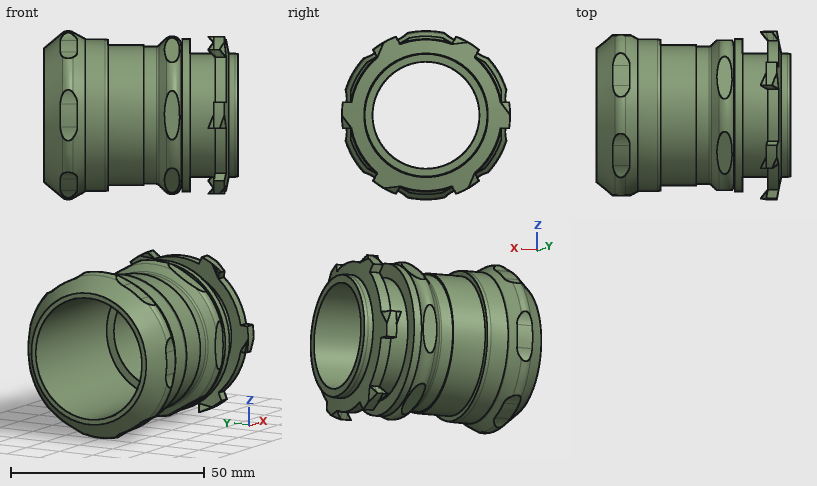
import cadquery as cq
import math

length = 50.3
sides = 6
sector = 360 / sides

bore_radius = 27.6 / 2
socket_radius = 32.0 / 2
socket_depth = 35.75

nut_face_radius = 17.3
nut_crown_start = 4.8
nut_crown_start_radius = 21.3
nut_crown_peak = 6.3
nut_crown_peak_radius = 43.7 / 2
nut_crown_end = 7.5
nut_crown_end_radius = 21.55
nut_cone_end = 10.6
nut_cone_end_radius = 19.8
nut_body_start = 10.75
nut_body_radius = 39.4 / 2
nut_end = 16.65
nut_rim_chamfer_length = 0.9
nut_rim_chamfer_depth = 0.15
scallop_radius = 20.85
scallop_half_width = 3.0
scallop_blend_radius = 9.05
scallop_blend_sweep = 30.0

barrel_radius = 36.4 / 2
barrel_end = 25.8
neck_radius = 35.6 / 2
neck_end = 29.05
ring_start = 29.8
ring_start_radius = 18.1
ring_crown_start = 31.65
ring_peak = 33.2
ring_peak_radius = 20.45
ring_crown_radius = 2.35
ring_flat_distance = 19.45
flange_start = socket_depth
flange_end = 37.9
flange_radius = 39.6 / 2
thread_radius = 32.1 / 2
thread_chamfer_start = 49.4
thread_chamfer_depth = 0.2

locknut_front = 44.35
locknut_back = 47.2
locknut_middle = (locknut_front + locknut_back) / 2
locknut_rim_radius = 19.55
locknut_dish_slope = 0.2
tooth_radius = 43.6 / 2
tooth_half_width = 3.4
tooth_bend = 1.4
tooth_lean = locknut_dish_slope * (tooth_radius - locknut_rim_radius)
locknut_dish = locknut_dish_slope * (locknut_rim_radius - thread_radius)

tooth_root = (math.sqrt(locknut_rim_radius**2 - tooth_half_width**2), tooth_half_width)
tooth_fold = (tooth_radius, 0)
tooth_corner = (math.sqrt(tooth_radius**2 - tooth_half_width**2), tooth_half_width)
relief_corner = (tooth_radius, tooth_half_width)

clearance = 2.5


def copies_around_axis(shape):
    """Yield the shape at every sector angle about the X axis."""
    for i in range(sides):
        yield shape.rotate((0, 0, 0), (1, 0, 0), i * sector)


def make_body():
    """Outer profile, radius drawn along Z, revolved about X; the locknut is still a full disc."""
    crown_center_radius = ring_peak_radius - ring_crown_radius
    crown_reach = ring_peak - ring_crown_start
    crown_start_radius = crown_center_radius + math.sqrt(ring_crown_radius**2 - crown_reach**2)
    return (
        cq.Workplane("XZ")
        .moveTo(0, 0)
        .lineTo(0, nut_face_radius)
        .lineTo(nut_crown_start, nut_crown_start_radius)
        .threePointArc(
            (nut_crown_peak, nut_crown_peak_radius),
            (nut_crown_end, nut_crown_end_radius),
        )
        .lineTo(nut_cone_end, nut_cone_end_radius)
        .lineTo(nut_body_start, nut_body_radius)
        .lineTo(nut_end - nut_rim_chamfer_length, nut_body_radius)
        .lineTo(nut_end, nut_body_radius - nut_rim_chamfer_depth)
        .lineTo(nut_end, barrel_radius)
        .lineTo(barrel_end, barrel_radius)
        .lineTo(barrel_end, neck_radius)
        .lineTo(neck_end, neck_radius)
        .tangentArcPoint((ring_start, ring_start_radius), relative=False)
        .lineTo(ring_crown_start, crown_start_radius)
        .threePointArc(
            (ring_peak, ring_peak_radius),
            (ring_peak + ring_crown_radius, crown_center_radius),
        )
        .lineTo(flange_start, crown_center_radius)
        .lineTo(flange_start, flange_radius)
        .lineTo(flange_end, flange_radius)
        .lineTo(flange_end, thread_radius)
        .lineTo(locknut_front + locknut_dish, thread_radius)
        .lineTo(locknut_front - tooth_lean, tooth_radius)
        .lineTo(locknut_back - tooth_lean, tooth_radius)
        .lineTo(locknut_back + locknut_dish, thread_radius)
        .lineTo(thread_chamfer_start, thread_radius)
        .lineTo(length, thread_radius - thread_chamfer_depth)
        .lineTo(length, 0)
        .close()
        .revolve(360, (0, 0, 0), (1, 0, 0))
    )


def make_scallop_cutter():
    """Cutter on the +Y side: coaxial floor with a concave blend at each end."""
    floor_angle = math.asin(scallop_half_width / scallop_radius)
    blend_center_distance = scallop_radius + scallop_blend_radius
    center_y = blend_center_distance * math.cos(floor_angle)
    center_z = blend_center_distance * math.sin(floor_angle)
    floor_end_y = scallop_radius * math.cos(floor_angle)

    def blend_point(sweep_degrees):
        angle = math.radians(sweep_degrees) - floor_angle
        return (
            center_y - scallop_blend_radius * math.cos(angle),
            center_z + scallop_blend_radius * math.sin(angle),
        )

    mid_y, mid_z = blend_point(scallop_blend_sweep / 2)
    end_y, end_z = blend_point(scallop_blend_sweep)
    outer_y = nut_crown_peak_radius + clearance
    return (
        cq.Workplane("YZ")
        .moveTo(floor_end_y, -scallop_half_width)
        .threePointArc((scallop_radius, 0), (floor_end_y, scallop_half_width))
        .threePointArc((mid_y, mid_z), (end_y, end_z))
        .lineTo(outer_y, end_z)
        .lineTo(outer_y, -end_z)
        .lineTo(end_y, -end_z)
        .threePointArc((mid_y, -mid_z), (floor_end_y, -scallop_half_width))
        .close()
        .extrude(nut_end)
    )


def make_ring_flat_cutter():
    """Block on the +Y side that leaves one flat on the ring."""
    block = cq.Workplane("XY").box(
        flange_start - ring_start, clearance, 2 * ring_peak_radius, centered=(False, False, True)
    )
    return block.translate((ring_start, ring_flat_distance, 0))


def make_tooth_gap_cutter():
    """Everything of the locknut disc beyond its rim except the teeth."""
    gap_start = flange_end + clearance
    cutter = (
        cq.Workplane("YZ", origin=(gap_start, 0, 0))
        .circle(tooth_radius + clearance)
        .circle(locknut_rim_radius)
        .extrude(thread_chamfer_start - gap_start)
    )
    tooth = cq.Workplane("XY").box(
        length, tooth_radius + 2 * clearance, 2 * tooth_half_width, centered=(False, False, True)
    )
    for placed_tooth in copies_around_axis(tooth):
        cutter = cutter.cut(placed_tooth)
    return cutter


def make_corner_wedge(rim_x, end_x, corner):
    """Triangular wedge on the +Y tooth, bent face near rim_x to flat face at end_x."""
    bent_face = cq.Wire.makePolygon(
        [
            cq.Vector(rim_x, *tooth_root),
            cq.Vector(rim_x - tooth_lean, *tooth_fold),
            cq.Vector(rim_x - tooth_lean - tooth_bend, *corner),
        ],
        close=True,
    )
    flat_face = cq.Wire.makePolygon(
        [cq.Vector(end_x, *point) for point in (tooth_root, tooth_fold, corner)],
        close=True,
    )
    return cq.Workplane(cq.Solid.makeLoft([bent_face, flat_face], True))


def make_bores():
    through_bore = cq.Workplane("YZ").circle(bore_radius).extrude(length)
    socket = cq.Workplane("YZ").circle(socket_radius).extrude(socket_depth)
    return through_bore.union(socket)


result = make_body()
for tool in (make_scallop_cutter(), make_ring_flat_cutter()):
    for cutter in copies_around_axis(tool):
        result = result.cut(cutter)
result = result.cut(make_tooth_gap_cutter())
front_spike = make_corner_wedge(locknut_front, locknut_middle, tooth_corner)
back_relief = make_corner_wedge(locknut_back, locknut_back + clearance, relief_corner)
for spike in copies_around_axis(front_spike):
    result = result.union(spike, clean=False)
for relief in copies_around_axis(back_relief):
    result = result.cut(relief, clean=False)
result = result.cut(make_bores(), clean=False)